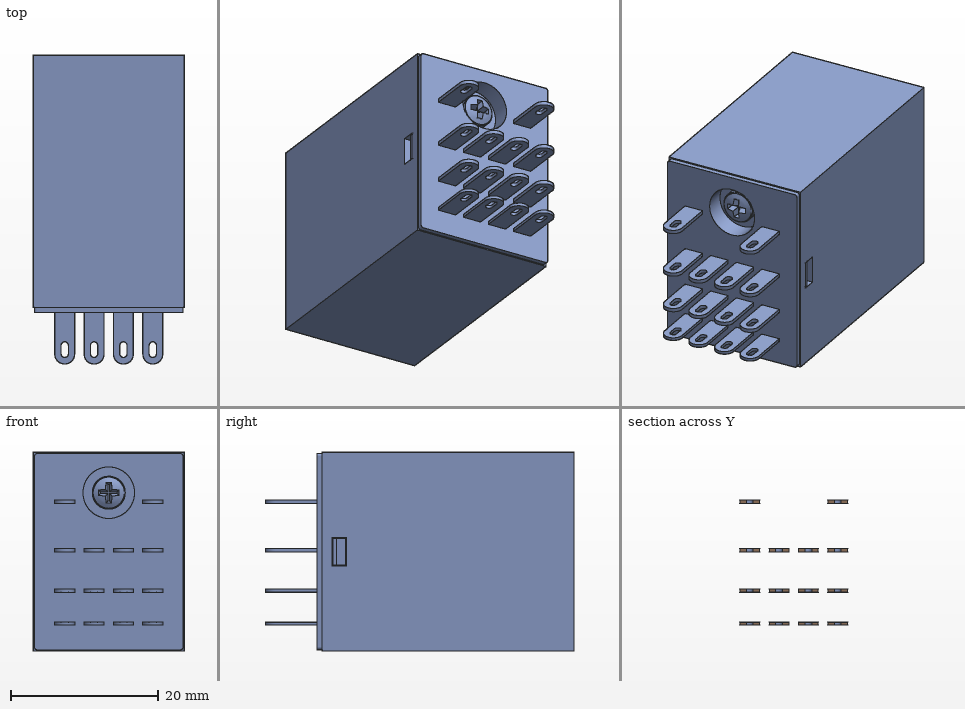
import cadquery as cq

width = 20.5
height = 27.0
total_length = 41.9
pin_length = 7.0
base_step = 0.7
cover_length = total_length - pin_length - base_step

base_inset = 0.15
base_width = width - 2 * base_inset
base_height = height - 2 * base_inset
base_corner_radius = 0.38

pin_width = 2.72
pin_thickness = 0.5
thin_pin_thickness = 0.4
column_pitch = 4.0
inner_column = column_pitch / 2
outer_column = inner_column + column_pitch
all_columns = (-outer_column, -inner_column, inner_column, outer_column)
outer_columns = (-outer_column, outer_column)
pin_rows = (
    (6.8, pin_thickness, outer_columns),
    (0.2, pin_thickness, all_columns),
    (-5.3, pin_thickness, all_columns),
    (-9.75, thin_pin_thickness, all_columns),
)
eye_width = 0.95
eye_length = 2.1
eye_tip_margin = 0.92

screw_z = 8.0
well_diameter = 7.0
well_depth = 2.85
head_diameter = 4.5
rim_chamfer = 0.13
head_rim_depth = 1.55
dome_rise = 0.6
cross_span = 2.95
cross_arm_width = 0.92
cross_depth = 1.0
cross_taper = 20

window_front = 2.05
window_length = 1.95
window_height = 3.9
window_depth = 1.0
latch_gap = 0.13
latch_recess = 0.1
latch_land = 0.5


def make_housing():
    cover = cq.Workplane("XY").box(width, cover_length, height, centered=(True, False, True))
    cover = cover.translate((0, base_step, 0))
    base = (
        cq.Workplane("XY")
        .box(base_width, 2 * base_step, base_height, centered=(True, False, True))
        .edges("|Y")
        .fillet(base_corner_radius)
    )
    return cover.union(base)


def make_pin(thickness):
    """Flat pin along -Y with a round tip and a slotted eye, rooted in the base."""
    tip_radius = pin_width / 2
    tip_center = tip_radius - pin_length
    eye_center = eye_tip_margin + eye_length / 2 - pin_length
    blade = (
        cq.Workplane("XY")
        .moveTo(-tip_radius, base_step)
        .lineTo(-tip_radius, tip_center)
        .threePointArc((0, -pin_length), (tip_radius, tip_center))
        .lineTo(tip_radius, base_step)
        .close()
        .extrude(thickness / 2, both=True)
    )
    eye = (
        cq.Workplane("XY")
        .center(0, eye_center)
        .slot2D(eye_length, eye_width, 90)
        .extrude(thickness, both=True)
    )
    return blade.cut(eye)


def make_well():
    return cq.Workplane("XZ").center(0, screw_z).circle(well_diameter / 2).extrude(-well_depth)


def make_screw():
    """Domed screw head on the well floor with a cross recess that narrows with depth."""
    radius = head_diameter / 2
    dome_radius = radius - rim_chamfer
    apex = head_rim_depth - dome_rise
    head = (
        cq.Workplane("XY")
        .moveTo(0, well_depth)
        .lineTo(radius, well_depth)
        .lineTo(radius, head_rim_depth + rim_chamfer)
        .lineTo(dome_radius, head_rim_depth)
        .threePointArc((dome_radius / 2, apex + dome_rise / 4), (0, apex))
        .close()
        .revolve(360, (0, 0, 0), (0, 1, 0))
    )
    face = cq.Workplane("XZ", origin=(0, apex, 0))
    arm_x = face.rect(cross_span, cross_arm_width).extrude(-cross_depth, taper=cross_taper)
    arm_z = face.rect(cross_arm_width, cross_span).extrude(-cross_depth, taper=cross_taper)
    return head.cut(arm_x).cut(arm_z).translate((0, 0, screw_z))


def make_window():
    """Window in the -X side with a ramped latch left standing inside it."""
    face_x = -width / 2
    floor_x = face_x + window_depth
    opening = (
        cq.Workplane("XY")
        .box(window_depth, window_length, window_height, centered=(False, False, True))
        .translate((face_x, window_front, 0))
    )
    land_x = face_x + latch_recess
    latch_front = window_front + latch_gap
    latch_back = window_front + window_length - latch_gap
    latch = (
        cq.Workplane("XY")
        .moveTo(floor_x, latch_front)
        .lineTo(land_x, latch_front)
        .lineTo(land_x, latch_front + latch_land)
        .lineTo(floor_x, latch_back)
        .close()
        .extrude(window_height / 2 - latch_gap, both=True)
    )
    return opening.cut(latch)


window = make_window()
result = make_housing().cut(make_well()).union(make_screw())
result = result.cut(window).cut(window.mirror("YZ"))
for row_z, row_thickness, columns in pin_rows:
    for column_x in columns:
        result = result.union(make_pin(row_thickness).translate((column_x, 0, row_z)))